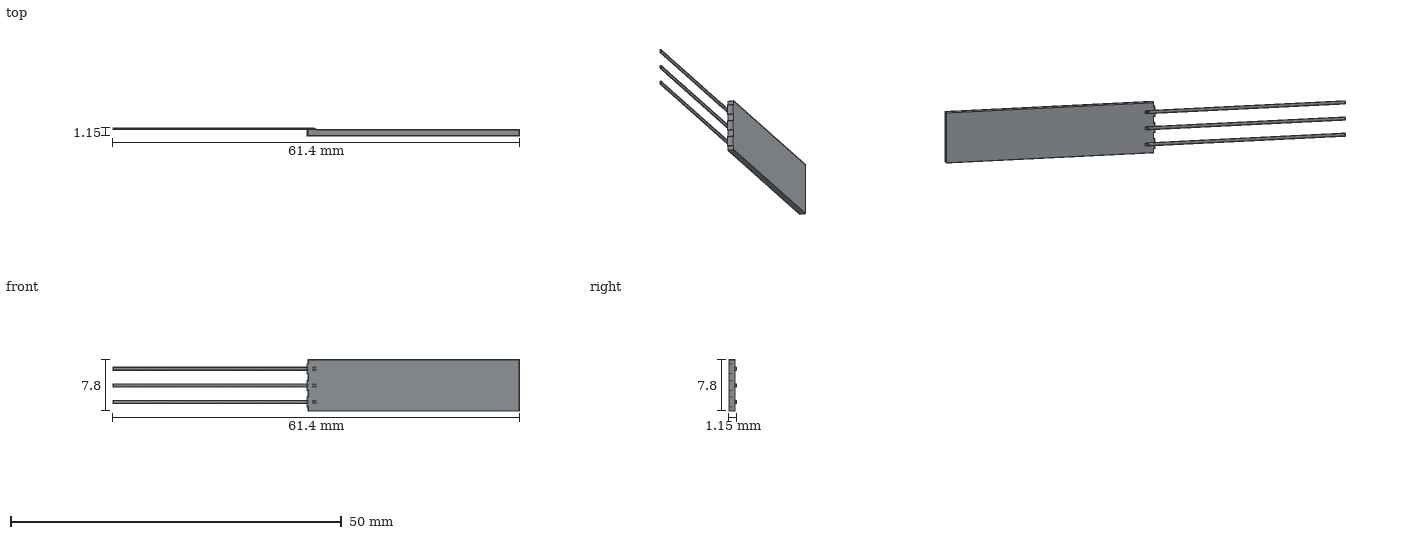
import cadquery as cq

total_length = 61.4
total_depth = 1.15
plate_height = 7.8

lead_protrusion = 0.23
plate_depth = total_depth - lead_protrusion
plate_length = 31.95
tab_width = 1.5
tab_rise = 0.2

lead_pitch = 2.5
lead_width = 0.5
lead_depth = 0.24
lead_overlap = 1.35
lead_bevel_length = 0.55

plate_start = total_length - plate_length
lead_length = plate_start + lead_overlap
lead_y = total_depth - lead_depth / 2
lead_heights = [lead_pitch, 0, -lead_pitch]


def make_plate():
    """Extrude the plate outline, with a rectangular tab beside each lead."""
    half_height = plate_height / 2
    outline = (
        cq.Workplane("XZ")
        .moveTo(total_length, -half_height)
        .lineTo(total_length, half_height)
        .lineTo(plate_start, half_height)
    )
    for height in lead_heights:
        tab_top = height + tab_width / 2
        tab_bottom = height - tab_width / 2
        outline = (
            outline.lineTo(plate_start, tab_top)
            .lineTo(plate_start - tab_rise, tab_top)
            .lineTo(plate_start - tab_rise, tab_bottom)
            .lineTo(plate_start, tab_bottom)
        )
    outline = outline.lineTo(plate_start, -half_height).close()
    return outline.extrude(-plate_depth)


def make_lead(height):
    """Make one oval lead, sunk slightly into the plate and bevelled at its plate end."""
    lead = (
        cq.Workplane("YZ")
        .center(lead_y, height)
        .ellipse(lead_depth / 2, lead_width / 2)
        .extrude(lead_length)
    )
    bevel = (
        cq.Workplane("XY", origin=(0, 0, height - lead_width / 2))
        .moveTo(lead_length - lead_bevel_length, total_depth)
        .lineTo(lead_length, total_depth)
        .lineTo(lead_length, total_depth - lead_depth)
        .close()
        .extrude(lead_width)
    )
    return lead.cut(bevel)


result = make_plate()
for lead_height in lead_heights:
    result = result.union(make_lead(lead_height))